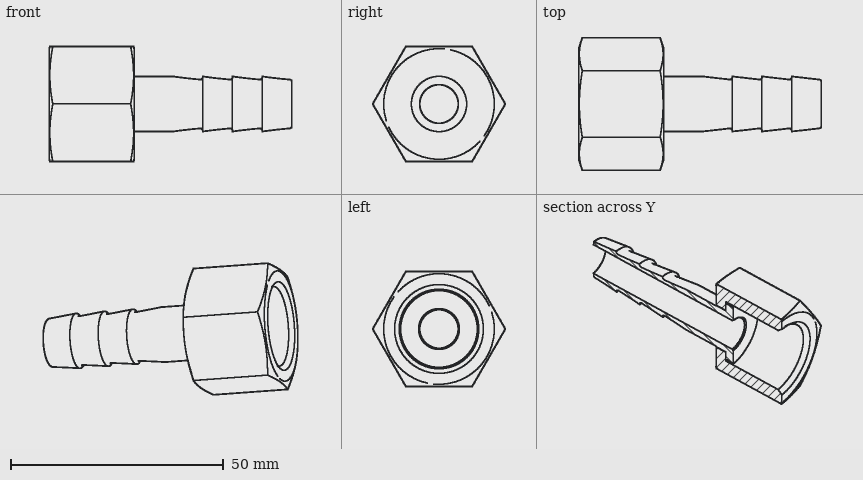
import cadquery as cq
import math

TOTAL_LENGTH = 57.0

NUT_LENGTH = 20.0
NUT_ACROSS_FLATS = 27.0
NUT_FACE_RADIUS = 13.0
NUT_CORNER_CHAMFER = 0.85
THREAD_RADIUS = 9.35
THREAD_MOUTH_RADIUS = 10.45
THREAD_MOUTH_DEPTH = 1.15
NUT_BACK_WALL = 3.0

FLANGE_RADIUS = 9.0
FLANGE_THICKNESS = 2.3
SHANK_RADIUS = 6.5
SHANK_END = 29.05
BARB_COUNT = 4
BARB_ROOT_RADIUS = 5.7
BARB_FILLET = 0.5
BORE_RADIUS = 4.5
BORE_CHAMFER = 0.3

NUT_CORNER_RADIUS = NUT_ACROSS_FLATS / math.sqrt(3)
NUT_FLOOR = NUT_LENGTH - NUT_BACK_WALL
FLANGE_FACE = NUT_FLOOR - FLANGE_THICKNESS
BARB_PITCH = (TOTAL_LENGTH - SHANK_END) / BARB_COUNT


def revolve_about_x(points):
    """Turn a closed (axial, radial) outline into a solid around the X axis."""
    return cq.Workplane("XY").polyline(points).close().revolve(360, (0, 0, 0), (1, 0, 0))


def make_nut():
    """Hexagon nut with chamfered corners, a threaded bore and a hole for the shank."""
    hexagon = (
        cq.Workplane("YZ")
        .polygon(6, 2 * NUT_CORNER_RADIUS)
        .extrude(NUT_LENGTH)
    )
    chamfered_blank = revolve_about_x([
        (0, 0),
        (0, NUT_FACE_RADIUS),
        (NUT_CORNER_CHAMFER, NUT_CORNER_RADIUS),
        (NUT_LENGTH - NUT_CORNER_CHAMFER, NUT_CORNER_RADIUS),
        (NUT_LENGTH, NUT_FACE_RADIUS),
        (NUT_LENGTH, 0),
    ])
    stepped_hole = revolve_about_x([
        (0, 0),
        (0, THREAD_MOUTH_RADIUS),
        (THREAD_MOUTH_DEPTH, THREAD_RADIUS),
        (NUT_FLOOR, THREAD_RADIUS),
        (NUT_FLOOR, SHANK_RADIUS),
        (NUT_LENGTH, SHANK_RADIUS),
        (NUT_LENGTH, 0),
    ])
    return hexagon.intersect(chamfered_blank).cut(stepped_hole)


def make_hose_tail():
    """Flanged shank with tapered barbs and a through bore."""
    outline = [
        (FLANGE_FACE, BORE_RADIUS + BORE_CHAMFER),
        (FLANGE_FACE, FLANGE_RADIUS),
        (NUT_FLOOR, FLANGE_RADIUS),
        (NUT_FLOOR, SHANK_RADIUS),
    ]
    for barb in range(BARB_COUNT):
        barb_start = SHANK_END + barb * BARB_PITCH
        outline.append((barb_start, SHANK_RADIUS))
        outline.append((barb_start + BARB_PITCH, BARB_ROOT_RADIUS))
    outline += [
        (TOTAL_LENGTH, BORE_RADIUS),
        (FLANGE_FACE + BORE_CHAMFER, BORE_RADIUS),
    ]
    tail = revolve_about_x(outline)

    return (
        tail.edges("%CIRCLE")
        .filter(lambda edge: math.isclose(edge.radius(), BARB_ROOT_RADIUS))
        .fillet(BARB_FILLET)
    )


nut = make_nut()
hose_tail = make_hose_tail()

result = cq.Compound.makeCompound([nut.val(), hose_tail.val()])